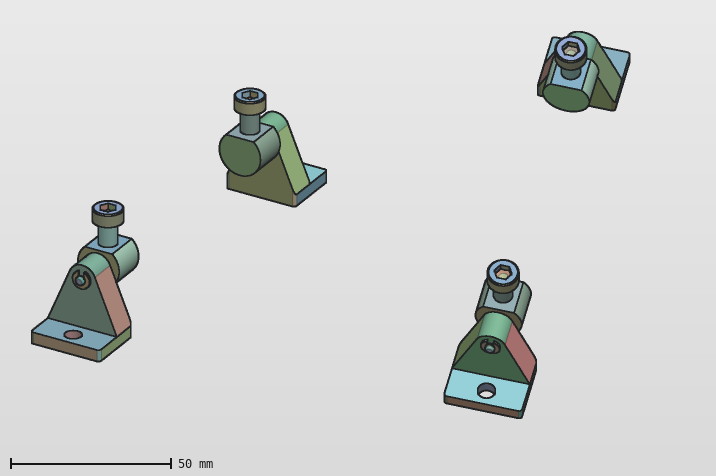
import cadquery as cq
import math

overall_length = 140.0
overall_height = 39.2
outer_end_y = -overall_length / 2

foot_width = 25.0
foot_depth = 20.0
foot_thickness = 4.0
foot_corner_radius = 1.0
foot_hole_diameter = 5.6
foot_hole_offset = 5.0
inner_face_y = outer_end_y + foot_depth

upright_thickness = 9.4
upright_top_radius = 4.9
pivot_height = 21.1
upright_outer_y = inner_face_y - upright_thickness

barrel_gap = 0.5
barrel_diameter = 15.0
barrel_length = 12.0
barrel_flat_height = 26.7
barrel_start_y = inner_face_y + barrel_gap
barrel_middle_y = barrel_start_y + barrel_length / 2

pin_diameter = 4.0
pin_tip_diameter = 3.1
pin_tip_length = 1.3
pin_tip_round = 0.7
clip_diameter = 6.2
clip_thickness = 0.8
clip_slot_width = 2.1
clip_outer_y = upright_outer_y - clip_thickness

screw_offset = 5.9
screw_y = barrel_start_y + screw_offset
screw_diameter = 6.2
head_diameter = 10.0
head_height = 4.5
head_chamfer = 0.4
socket_across_flats = 4.9
socket_depth = 2.1
socket_bore_diameter = 3.1
socket_bore_depth = 2.8
socket_tip_depth = 3.5


def cylinder_along_y(diameter, start_y, length):
    """Cylinder on the pivot axis, running from start_y towards +Y."""
    return (
        cq.Workplane("XZ", origin=(0, start_y, pivot_height))
        .circle(diameter / 2)
        .extrude(-length)
    )


def make_foot_and_upright():
    half_width = foot_width / 2
    corner_drop = pivot_height - foot_thickness
    corner_distance = math.hypot(half_width, corner_drop)
    tangent_angle = math.acos(upright_top_radius / corner_distance) - math.atan2(corner_drop, half_width)
    tangent_x = upright_top_radius * math.cos(tangent_angle)
    tangent_z = pivot_height + upright_top_radius * math.sin(tangent_angle)

    upright = (
        cq.Workplane("XZ", origin=(0, upright_outer_y, 0))
        .moveTo(-half_width, 0)
        .lineTo(half_width, 0)
        .lineTo(half_width, foot_thickness)
        .lineTo(tangent_x, tangent_z)
        .threePointArc((0, pivot_height + upright_top_radius), (-tangent_x, tangent_z))
        .lineTo(-half_width, foot_thickness)
        .close()
        .extrude(-upright_thickness)
    )
    foot = cq.Workplane("XY").box(foot_width, foot_depth, foot_thickness, centered=(True, False, False))
    foot = foot.translate((0, outer_end_y, 0))

    rounded_column = (
        cq.Workplane("XY")
        .box(foot_width, foot_depth, overall_height, centered=(True, False, False))
        .translate((0, outer_end_y, 0))
        .edges("|Z")
        .fillet(foot_corner_radius)
    )
    bolt_hole = (
        cq.Workplane("XY")
        .center(0, outer_end_y + foot_hole_offset)
        .circle(foot_hole_diameter / 2)
        .extrude(foot_thickness)
    )
    return foot.union(upright).intersect(rounded_column).cut(bolt_hole)


def make_barrel():
    barrel = cylinder_along_y(barrel_diameter, barrel_start_y, barrel_length)
    above_flat = cq.Workplane("XY", origin=(0, barrel_middle_y, barrel_flat_height)).box(
        barrel_diameter, barrel_length, barrel_diameter, centered=(True, True, False)
    )
    return barrel.cut(above_flat)


def make_pin():
    pin = cylinder_along_y(pin_diameter, upright_outer_y, barrel_start_y - upright_outer_y)
    clip_groove = cylinder_along_y(clip_slot_width, clip_outer_y, clip_thickness)
    tip = cylinder_along_y(pin_tip_diameter, clip_outer_y - pin_tip_length, pin_tip_length)
    tip = tip.faces("<Y").edges().fillet(pin_tip_round)
    return pin.union(clip_groove).union(tip)


def make_clip():
    clip = cylinder_along_y(clip_diameter, clip_outer_y, clip_thickness)
    slot = cq.Workplane("XY", origin=(0, clip_outer_y, pivot_height)).box(
        clip_slot_width, clip_thickness, clip_diameter, centered=(True, False, False)
    )
    return clip.cut(slot)


def make_socket():
    """Hexagonal socket whose floor slopes into a pointed round bore."""
    across_corners = socket_across_flats / math.cos(math.pi / 6)
    hexagon = (
        cq.Workplane("XY", origin=(0, screw_y, overall_height))
        .polygon(6, across_corners)
        .extrude(-socket_tip_depth)
    )
    pointed_bore = (
        cq.Workplane("XZ", origin=(0, screw_y, overall_height))
        .polyline(
            [
                (0, 0),
                (across_corners / 2, 0),
                (across_corners / 2, -socket_depth),
                (socket_bore_diameter / 2, -socket_bore_depth),
                (0, -socket_tip_depth),
            ]
        )
        .close()
        .revolve(360, (0, 0, 0), (0, 1, 0))
    )
    return pointed_bore.intersect(hexagon)


def make_screw():
    head_base = overall_height - head_height
    centre = cq.Workplane("XY", origin=(0, screw_y, 0))
    shank = centre.workplane(offset=barrel_flat_height).circle(screw_diameter / 2)
    shank = shank.extrude(head_base - barrel_flat_height)
    head = centre.workplane(offset=head_base).circle(head_diameter / 2).extrude(head_height)
    head = head.faces(">Z").edges().chamfer(head_chamfer)
    return shank.union(head).cut(make_socket())


def make_clamp_stand(turn):
    """One complete stand as a single body, turned about the Z axis by the given angle."""
    stand = make_foot_and_upright()
    for piece in (make_pin(), make_clip(), make_barrel(), make_screw()):
        stand = stand.union(piece)
    return stand.rotate((0, 0, 0), (0, 0, 1), turn)


clamp_stands = [make_clamp_stand(turn).solids().val() for turn in (0, 180)]

result = cq.Compound.makeCompound(clamp_stands)